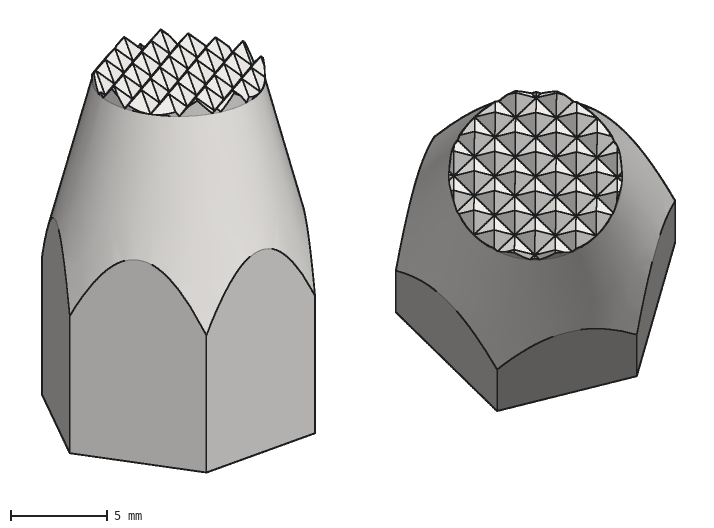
import cadquery as cq
import math

total_height = 20.0
hex_across_corners = 15.0
tip_diameter = 9.0
tip_radius = tip_diameter / 2
taper_angle = 15.0

teeth_across = 6
tooth_height = 0.95
tooth_root_depth = 0.2
tooth_pitch = tip_diameter / teeth_across
tip_height = total_height - tooth_height


def tapered_shank():
    """Hexagonal shank whose upper part is turned down to a cone."""
    hexagon = cq.Workplane("XY").polygon(6, hex_across_corners).extrude(tip_height)
    base_radius = tip_radius + tip_height * math.tan(math.radians(taper_angle))
    cone = cq.Solid.makeCone(base_radius, tip_radius, tip_height)
    return hexagon.intersect(cq.Workplane(cone))


def tooth_ridges():
    """Parallel triangular ridges running along Y, side by side across the tip."""
    root_level = tip_height - tooth_root_depth
    profile = cq.Workplane("XZ", origin=(0, tip_radius, 0)).moveTo(-tip_radius, root_level)
    for index in range(teeth_across):
        valley = -tip_radius + index * tooth_pitch
        profile = profile.lineTo(valley, tip_height)
        profile = profile.lineTo(valley + tooth_pitch / 2, total_height)
    profile = profile.lineTo(tip_radius, tip_height).lineTo(tip_radius, root_level)
    return profile.close().extrude(tip_diameter)


def toothed_disc():
    """Crossed ridges leave pyramids, which are trimmed to the round tip."""
    ridges = tooth_ridges()
    pyramids = ridges.intersect(ridges.rotate((0, 0, 0), (0, 0, 1), 90))
    disc = (
        cq.Workplane("XY", origin=(0, 0, tip_height - tooth_root_depth))
        .circle(tip_radius)
        .extrude(tooth_root_depth + tooth_height)
    )
    return pyramids.intersect(disc)


result = tapered_shank().union(toothed_disc())